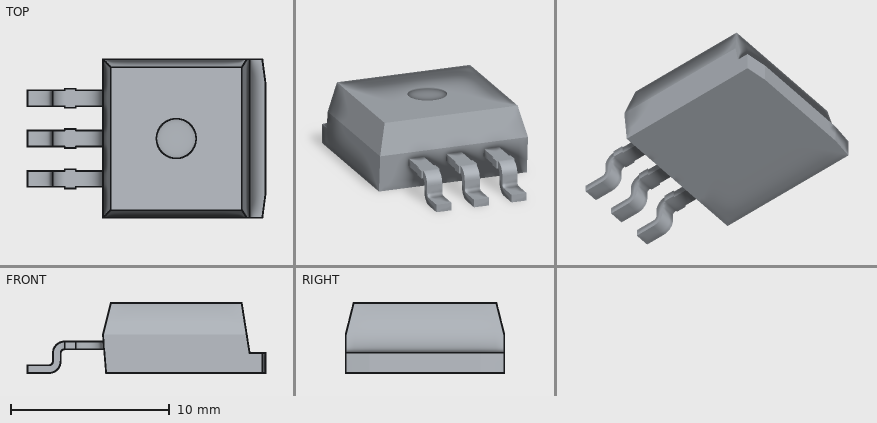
import cadquery as cq

TOTAL_LENGTH = 15.0
BODY_WIDTH = 10.0
BODY_HEIGHT = 4.42

PARTING_Z = 2.42
BODY_FRONT_X = 4.75
FRONT_BOTTOM_INSET = 0.2
TOP_INSET = 0.5
TOP_REAR_X = 13.5
BODY_REAR_X = 14.0

TAB_THICKNESS = 1.27
TAB_TAPER_X = 0.2
TAB_TAPER_Y = 1.5

RECESS_DIAMETER = 2.5
RECESS_DEPTH = 0.1

LEAD_COUNT = 3
LEAD_PITCH = 2.54
LEAD_WIDTH = 1.02
LEAD_THICKNESS = 0.5
LEAD_TOP_Z = 2.0
BEND_INNER_RADIUS = 0.25
FOOT_LENGTH = 1.35
LEAD_EMBED = 0.5
COLLAR_LENGTH = 0.7
COLLAR_WIDTH = 1.22

BEND_OUTER_RADIUS = BEND_INNER_RADIUS + LEAD_THICKNESS
RISER_FRONT_X = FOOT_LENGTH + BEND_INNER_RADIUS
RISER_REAR_X = RISER_FRONT_X + LEAD_THICKNESS
SHOULDER_X = RISER_REAR_X + BEND_INNER_RADIUS
LEAD_BOTTOM_Z = LEAD_TOP_Z - LEAD_THICKNESS


def make_body():
    """Extrude the side profile, then slope the long sides above the parting line."""
    side_profile = (
        cq.Workplane("XZ")
        .moveTo(BODY_FRONT_X + FRONT_BOTTOM_INSET, 0)
        .lineTo(BODY_REAR_X, 0)
        .lineTo(BODY_REAR_X, TAB_THICKNESS)
        .lineTo(TOP_REAR_X, BODY_HEIGHT)
        .lineTo(BODY_FRONT_X + TOP_INSET, BODY_HEIGHT)
        .lineTo(BODY_FRONT_X, PARTING_Z)
        .close()
        .extrude(BODY_WIDTH / 2, both=True)
    )
    half_width = BODY_WIDTH / 2
    half_top_width = half_width - TOP_INSET
    end_envelope = (
        cq.Workplane("YZ")
        .moveTo(-half_width, 0)
        .lineTo(half_width, 0)
        .lineTo(half_width, PARTING_Z)
        .lineTo(half_top_width, BODY_HEIGHT)
        .lineTo(-half_top_width, BODY_HEIGHT)
        .lineTo(-half_width, PARTING_Z)
        .close()
        .extrude(TOTAL_LENGTH)
    )
    return side_profile.intersect(end_envelope)


def make_tab():
    """Rear tab whose two outer corners taper in plan."""
    half_width = BODY_WIDTH / 2
    taper_start_x = TOTAL_LENGTH - TAB_TAPER_X
    return (
        cq.Workplane("XY")
        .moveTo(BODY_REAR_X, -half_width)
        .lineTo(taper_start_x, -half_width)
        .lineTo(TOTAL_LENGTH, -half_width + TAB_TAPER_Y)
        .lineTo(TOTAL_LENGTH, half_width - TAB_TAPER_Y)
        .lineTo(taper_start_x, half_width)
        .lineTo(BODY_REAR_X, half_width)
        .close()
        .extrude(TAB_THICKNESS)
    )


def make_recess():
    """Cutter for the shallow round recess centered on the top face."""
    center_x = (BODY_FRONT_X + TOP_INSET + TOP_REAR_X) / 2
    return (
        cq.Workplane("XY")
        .workplane(offset=BODY_HEIGHT - RECESS_DEPTH)
        .center(center_x, 0)
        .circle(RECESS_DIAMETER / 2)
        .extrude(RECESS_DEPTH)
    )


def make_lead(center_y):
    """S-bent lead with a slightly wider collar just behind the upper bend."""
    lead_end_x = BODY_FRONT_X + LEAD_EMBED
    strip = (
        cq.Workplane("XZ", origin=(0, center_y, 0))
        .lineTo(FOOT_LENGTH, 0)
        .radiusArc((RISER_REAR_X, BEND_OUTER_RADIUS), -BEND_OUTER_RADIUS)
        .lineTo(RISER_REAR_X, LEAD_BOTTOM_Z - BEND_INNER_RADIUS)
        .radiusArc((SHOULDER_X, LEAD_BOTTOM_Z), BEND_INNER_RADIUS)
        .lineTo(lead_end_x, LEAD_BOTTOM_Z)
        .lineTo(lead_end_x, LEAD_TOP_Z)
        .lineTo(SHOULDER_X, LEAD_TOP_Z)
        .radiusArc((RISER_FRONT_X, LEAD_TOP_Z - BEND_OUTER_RADIUS), -BEND_OUTER_RADIUS)
        .lineTo(RISER_FRONT_X, LEAD_THICKNESS + BEND_INNER_RADIUS)
        .radiusArc((FOOT_LENGTH, LEAD_THICKNESS), BEND_INNER_RADIUS)
        .lineTo(0, LEAD_THICKNESS)
        .close()
        .extrude(LEAD_WIDTH / 2, both=True)
    )
    collar = cq.Workplane("XY", origin=(SHOULDER_X, center_y, LEAD_BOTTOM_Z)).box(
        COLLAR_LENGTH, COLLAR_WIDTH, LEAD_THICKNESS, centered=(False, True, False)
    )
    return strip.union(collar)


result = make_body().union(make_tab()).cut(make_recess())
for index in range(LEAD_COUNT):
    lead_y = (index - (LEAD_COUNT - 1) / 2) * LEAD_PITCH
    result = result.union(make_lead(lead_y))